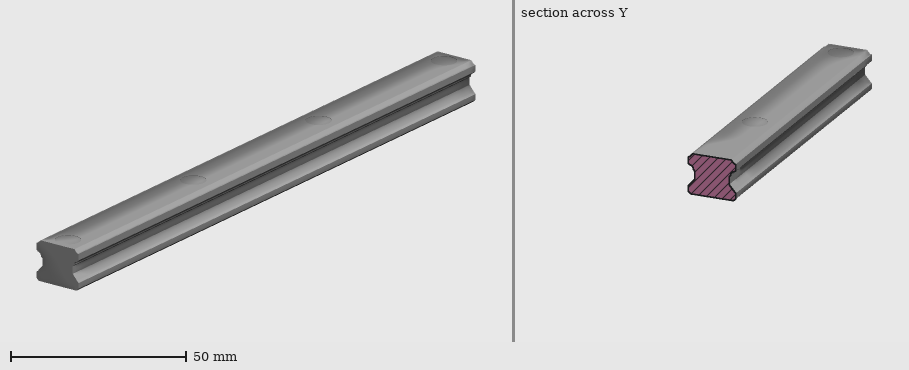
import cadquery as cq

rail_width = 15.0
rail_length = 190.0
rail_height = 12.5
half_width = rail_width / 2

top_half_width = 6.0
ledge_width = 0.5
ledge_height = 11.4

waist_half_width = 5.4
waist_bottom = 4.85
waist_top = 7.15
groove_bottom = 2.5
groove_top = 9.4
land_width = 0.55

track_inner_x = 5.9
track_mid_x = 6.2
track_mid_z = 8.5

bottom_chamfer = 0.8

cap_diameter = 7.5
cap_recess = 0.1
cap_pitch = 60.0
cap_count = 4


def make_half_rail():
    """Extrude the +X half of the cross-section along Y, centred on the origin in plan."""
    land_x = half_width - land_width
    track_inner_z = waist_top + track_inner_x - waist_half_width
    profile = (
        cq.Workplane("XZ", origin=(0, rail_length / 2, 0))
        .lineTo(half_width - bottom_chamfer, 0)
        .lineTo(half_width, bottom_chamfer)
        .lineTo(half_width, groove_bottom)
        .lineTo(land_x, groove_bottom + land_width)
        .lineTo(waist_half_width, waist_bottom)
        .lineTo(waist_half_width, waist_top)
        .lineTo(track_inner_x, track_inner_z)
        .threePointArc((track_mid_x, track_mid_z), (land_x, groove_top - land_width))
        .lineTo(half_width, groove_top)
        .lineTo(half_width, ledge_height)
        .lineTo(half_width - ledge_width, ledge_height)
        .lineTo(top_half_width, rail_height)
        .lineTo(0, rail_height)
        .close()
    )
    return profile.extrude(rail_length)


def make_rail():
    """Join the half rail to its mirror image across the YZ plane."""
    half_rail = make_half_rail()
    return half_rail.union(half_rail.mirror("YZ")).clean()


def make_cap_recesses():
    """Shallow round recesses that mark the hole caps in the top face."""
    recess_floor = rail_height - cap_recess
    return (
        cq.Workplane("XY", origin=(0, 0, recess_floor))
        .rarray(1, cap_pitch, 1, cap_count)
        .circle(cap_diameter / 2)
        .extrude(cap_recess)
    )


result = make_rail().cut(make_cap_recesses())